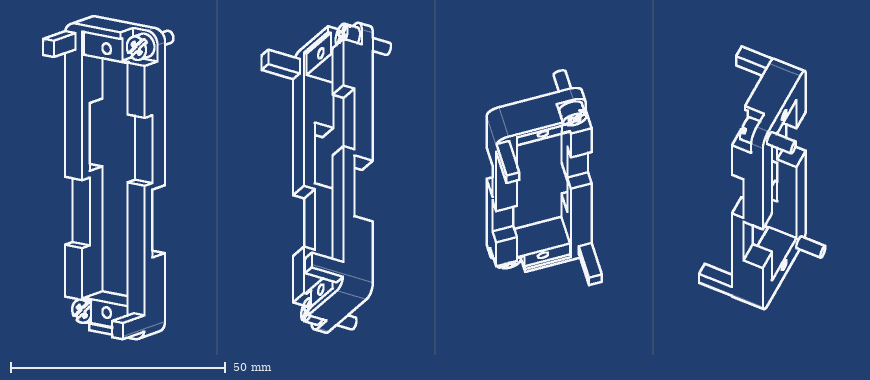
import cadquery as cq

frame_width = 23.2
frame_height = 73.4
frame_depth = 8.0
corner_radius = 3.0

window_width = 13.1
window_height = 58.65
recess_height = 70.2
recess_depth = 0.7

hole_diameter = 2.5
hole_height = 31.85

notch_start = 0.8
notch_end = 17.2
front_notch_depth = 3.0
back_notch_depth = frame_depth - front_notch_depth

pocket_width = 7.05
pocket_height = 7.0
pocket_depth = 5.0
screw_x = 7.9
screw_z = 33.0
head_diameter = 5.6
head_height = 3.3
shank_diameter = 3.0
shank_projection = 6.2

long_slot_width = 1.1
short_slot_width = 1.0
short_slot_length = 3.1
drive_depth = 0.95
drive_angle = 45.0

bar_width = 3.15
bar_height = 4.0
bar_top = 34.4
bar_projection = 8.5

half_width = frame_width / 2
half_height = frame_height / 2
rail_width = (frame_width - window_width) / 2


def box(x_start, y_start, z_start, x_size, y_size, z_size):
    """Block given by its lowest corner and its sizes."""
    return cq.Workplane("XY").box(x_size, y_size, z_size, centered=False).translate((x_start, y_start, z_start))


def rod(diameter, x, z, y_start, length):
    """Cylinder along +Y."""
    return cq.Workplane("XZ", origin=(x, y_start, z)).circle(diameter / 2).extrude(-length)


def rounded_prism(y_start, length):
    """Rounded outline of the frame, extruded along +Y."""
    prism = box(-half_width, y_start, -half_height, frame_width, length, frame_height)
    return prism.edges("|Y").fillet(corner_radius)


def half_turn(shape):
    """Copy of a shape on the diagonally opposite corner."""
    return shape.rotate((0, 0, 0), (0, 1, 0), 180)


def make_frame():
    window = box(-window_width / 2, 0, -window_height / 2, window_width, frame_depth, window_height)
    recess = box(-window_width / 2, 0, -recess_height / 2, window_width, recess_depth, recess_height)
    frame = rounded_prism(0, frame_depth).cut(window).cut(recess)
    for z in (-hole_height, hole_height):
        frame = frame.cut(rod(hole_diameter, 0, z, 0, frame_depth))
    return frame


def make_rail_notches():
    """Front and back notches of the +X rail."""
    rail_start = window_width / 2
    notch_height = notch_end - notch_start
    front = box(rail_start, 0, notch_start, rail_width, front_notch_depth, notch_height)
    back = box(rail_start, front_notch_depth, -notch_end, rail_width, back_notch_depth, notch_height)
    return front.union(back)


def make_pocket():
    """Pocket in the +X +Z corner, open to the front and both outer sides."""
    return box(
        half_width - pocket_width, 0, half_height - pocket_height,
        pocket_width, pocket_depth, pocket_height,
    )


def make_screw():
    """Screw in the +X +Z corner, its head resting on the pocket floor."""
    head_front = pocket_depth - head_height
    shank_length = frame_depth + shank_projection - pocket_depth
    head = rod(head_diameter, screw_x, screw_z, head_front, head_height)
    shank = rod(shank_diameter, screw_x, screw_z, pocket_depth, shank_length)
    drive_plane = cq.Workplane("XZ", origin=(screw_x, head_front, screw_z)).transformed(rotate=(0, 0, drive_angle))
    long_slot = drive_plane.rect(head_diameter, long_slot_width).extrude(-drive_depth)
    short_slot = drive_plane.rect(short_slot_width, short_slot_length).extrude(-drive_depth)
    return head.cut(long_slot).cut(short_slot).union(shank)


def make_coding_bar():
    """Bar at the upper end of the -X rail, its outer side following the rounded corner."""
    bar = box(-half_width, -bar_projection, bar_top - bar_height, bar_width, bar_projection, bar_height)
    return bar.intersect(rounded_prism(-bar_projection, bar_projection))


result = make_frame()
for cutter in (make_rail_notches(), make_pocket()):
    result = result.cut(cutter).cut(half_turn(cutter))
for addition in (make_screw(), make_coding_bar()):
    result = result.union(addition).union(half_turn(addition))